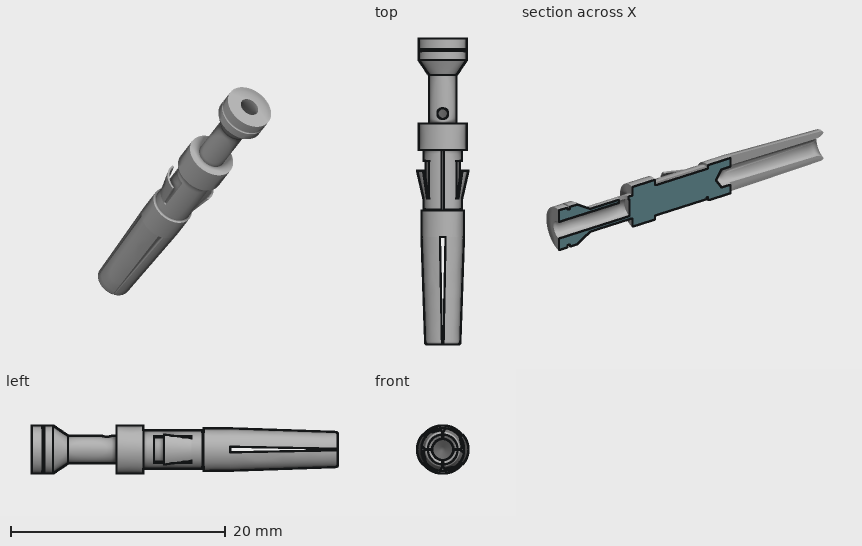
import cadquery as cq
import math

LENGTH = 28.5

FINGER_ROOT = 10.0
FRONT_COLLAR_END = 12.5
SLEEVE_START = 12.6
TAB_ROOT = 13.6
TAB_TIP = 16.2
WINDOW_END = 17.1
SLEEVE_END = 18.1
REAR_COLLAR_END = 20.6
FUNNEL_START = LENGTH - 3.4
FUNNEL_END = LENGTH - 2.0
GROOVE_START = LENGTH - 1.2
GROOVE_END = LENGTH - 1.0

TIP_R = 1.65
TIP_ROUND = 0.26
FRONT_COLLAR_R = 2.0
CORE_R = 1.62
COLLAR_R = 2.25
BARREL_R = 1.3
GROOVE_R = 2.0

SOCKET_R = 0.98
SOCKET_DEPTH = 11.0
DRILL_POINT_ANGLE = 118.0
MOUTH_CHAMFER = 0.13
LEAD_IN_LENGTH = 0.7

SLOT_ROOT_WIDTH = 0.5
SLOT_TIP_WIDTH = 0.12

WIRE_BORE_R = 0.9
WIRE_BORE_DEPTH = 7.6
INSPECTION_HOLE_D = 1.0
INSPECTION_HOLE_Y = LENGTH - 7.0

SLEEVE_R = 1.81
SLEEVE_SLIT_WIDTH = 0.25
WINDOW_HALF_ANGLE = 44.2
TAB_ROOT_HALF_ANGLE = 36.0
TAB_TIP_HALF_ANGLE = 43.5
TAB_REACH = 2.4
TAB_TIP_R = 2.03


def revolve_about_y(profile):
    """Solid of revolution from an open sketch of radius (x) against station (y)."""
    return profile.close().revolve(360, (0, 0, 0), (0, 1, 0))


def plane_at(y):
    """Cross-section plane at station y: local x is +X, local y is +Z, extrusion runs towards -Y."""
    return cq.Workplane("XZ", origin=(0, y, 0))


def make_body():
    """Turned outline: rounded tip, tapered fingers, collars, barrel and grooved wire funnel."""
    round_offset = TIP_ROUND * (1 - math.sqrt(0.5))
    profile = (
        cq.Workplane("XY")
        .lineTo(TIP_R - TIP_ROUND, 0)
        .threePointArc((TIP_R - round_offset, round_offset), (TIP_R, TIP_ROUND))
        .lineTo(FRONT_COLLAR_R, FINGER_ROOT)
        .lineTo(FRONT_COLLAR_R, FRONT_COLLAR_END)
        .lineTo(CORE_R, FRONT_COLLAR_END)
        .lineTo(CORE_R, SLEEVE_END)
        .lineTo(COLLAR_R, SLEEVE_END)
        .lineTo(COLLAR_R, REAR_COLLAR_END)
        .lineTo(BARREL_R, REAR_COLLAR_END)
        .lineTo(BARREL_R, FUNNEL_START)
        .lineTo(COLLAR_R, FUNNEL_END)
        .lineTo(COLLAR_R, GROOVE_START)
        .lineTo(GROOVE_R, GROOVE_START)
        .lineTo(GROOVE_R, GROOVE_END)
        .lineTo(COLLAR_R, GROOVE_END)
        .lineTo(COLLAR_R, LENGTH)
        .lineTo(0, LENGTH)
    )
    return revolve_about_y(profile)


def make_socket_bore():
    """Blind bore with a conical bottom and a chamfered mouth.

    Behind the chamfer a curved lead-in runs out tangent to the bore wall.
    """
    cone_depth = SOCKET_R / math.tan(math.radians(DRILL_POINT_ANGLE / 2))
    mouth_r = TIP_R - TIP_ROUND
    lead_in_start_r = mouth_r - MOUTH_CHAMFER
    lead_in_end = MOUTH_CHAMFER + LEAD_IN_LENGTH
    flare = lead_in_start_r - SOCKET_R
    lead_in_r = (LEAD_IN_LENGTH**2 + flare**2) / (2 * flare)
    half_sweep = math.asin(LEAD_IN_LENGTH / lead_in_r) / 2
    arc_middle = (
        SOCKET_R + lead_in_r * (1 - math.cos(half_sweep)),
        lead_in_end - lead_in_r * math.sin(half_sweep),
    )
    profile = (
        cq.Workplane("XY")
        .lineTo(mouth_r, 0)
        .lineTo(lead_in_start_r, MOUTH_CHAMFER)
        .threePointArc(arc_middle, (SOCKET_R, lead_in_end))
        .lineTo(SOCKET_R, SOCKET_DEPTH)
        .lineTo(0, SOCKET_DEPTH + cone_depth)
    )
    return revolve_about_y(profile)


def make_finger_slot():
    """Tapered slot through the full diameter, splitting the top and bottom walls."""
    return (
        cq.Workplane("XY")
        .polyline([
            (-SLOT_TIP_WIDTH / 2, 0),
            (SLOT_TIP_WIDTH / 2, 0),
            (SLOT_ROOT_WIDTH / 2, FINGER_ROOT),
            (-SLOT_ROOT_WIDTH / 2, FINGER_ROOT),
        ])
        .close()
        .extrude(FRONT_COLLAR_R, both=True)
    )


def make_wire_bore():
    return plane_at(LENGTH).circle(WIRE_BORE_R).extrude(WIRE_BORE_DEPTH)


def make_inspection_hole():
    """Hole through the top wall of the crimp barrel into the wire bore."""
    return (
        cq.Workplane("XY")
        .center(0, INSPECTION_HOLE_Y)
        .circle(INSPECTION_HOLE_D / 2)
        .extrude(COLLAR_R)
    )


def ring_sector(y, center_x, inner_r, outer_r, half_angle):
    """Closed wire of a ring sector centred on +X, at station y."""
    cos_a = math.cos(math.radians(half_angle))
    sin_a = math.sin(math.radians(half_angle))
    return (
        plane_at(y)
        .moveTo(center_x + inner_r * cos_a, -inner_r * sin_a)
        .lineTo(center_x + outer_r * cos_a, -outer_r * sin_a)
        .threePointArc((center_x + outer_r, 0), (center_x + outer_r * cos_a, outer_r * sin_a))
        .lineTo(center_x + inner_r * cos_a, inner_r * sin_a)
        .threePointArc((center_x + inner_r, 0), (center_x + inner_r * cos_a, -inner_r * sin_a))
        .close()
        .val()
    )


def make_window():
    """Opening in the +X side of the sleeve, cut down to the core."""
    outline = ring_sector(WINDOW_END, 0, CORE_R, COLLAR_R, WINDOW_HALF_ANGLE)
    return plane_at(WINDOW_END).add(outline).toPending().extrude(WINDOW_END - TAB_ROOT)


def make_tab():
    """Spring tab on the +X side, flaring outwards from its root to its free end."""
    thickness = SLEEVE_R - CORE_R
    root = ring_sector(TAB_ROOT, 0, CORE_R, SLEEVE_R, TAB_ROOT_HALF_ANGLE)
    tip = ring_sector(TAB_TIP, TAB_REACH - TAB_TIP_R, TAB_TIP_R - thickness, TAB_TIP_R, TAB_TIP_HALF_ANGLE)
    return cq.Workplane(cq.Solid.makeLoft([root, tip], True))


def make_sleeve():
    sleeve_length = SLEEVE_END - SLEEVE_START
    sleeve = plane_at(SLEEVE_END).circle(SLEEVE_R).circle(CORE_R).extrude(sleeve_length)
    slit = plane_at(SLEEVE_END).center(0, SLEEVE_R).rect(SLEEVE_SLIT_WIDTH, SLEEVE_R).extrude(sleeve_length)
    sleeve = sleeve.cut(slit)
    for side_angle in (0, 180):
        sleeve = sleeve.cut(make_window().rotate((0, 0, 0), (0, 1, 0), side_angle))
        sleeve = sleeve.union(make_tab().rotate((0, 0, 0), (0, 1, 0), side_angle))
    return sleeve


result = make_body().cut(make_socket_bore()).cut(make_wire_bore()).cut(make_inspection_hole())
for slot_angle in (0, 90):
    result = result.cut(make_finger_slot().rotate((0, 0, 0), (0, 1, 0), slot_angle))
result = result.union(make_sleeve())